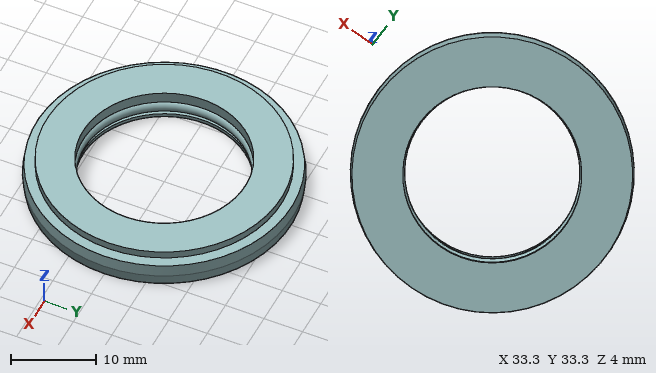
import cadquery as cq

outer_radius = 16.65
rim_edge_radius = 16.45
shoulder_radius = 15.15
bore_radius = 10.5
total_height = 4.0
rim_height = 3.0
crest_z = rim_height / 2

seal_section_diameter = 1.5
seal_inner_radius = 10.25
seal_z = crest_z
seal_outer_radius = seal_inner_radius + seal_section_diameter
groove_width = 2.0
groove_bottom_z = seal_z - groove_width / 2
groove_top_z = seal_z + groove_width / 2


def revolve_about_z(profile):
    """Revolve a closed profile, drawn as (radius, z), a full turn about Z."""
    return profile.revolve(360, (0, 0, 0), (0, 1, 0))


def make_housing():
    """Stepped ring with a tapered rim and a square groove in its bore."""
    profile = (
        cq.Workplane("XZ")
        .moveTo(bore_radius, 0)
        .lineTo(rim_edge_radius, 0)
        .lineTo(outer_radius, crest_z)
        .lineTo(rim_edge_radius, rim_height)
        .lineTo(shoulder_radius, rim_height)
        .lineTo(shoulder_radius, total_height)
        .lineTo(bore_radius, total_height)
        .lineTo(bore_radius, groove_top_z)
        .lineTo(seal_outer_radius, groove_top_z)
        .lineTo(seal_outer_radius, groove_bottom_z)
        .lineTo(bore_radius, groove_bottom_z)
        .close()
    )
    return revolve_about_z(profile)


def make_seal_ring():
    """Round-section ring seated on the groove floor, clear of both groove sides."""
    section_center_radius = (seal_inner_radius + seal_outer_radius) / 2
    profile = (
        cq.Workplane("XZ")
        .moveTo(section_center_radius, seal_z)
        .circle(seal_section_diameter / 2)
    )
    return revolve_about_z(profile)


housing = make_housing()
seal_ring = make_seal_ring()

result = cq.Compound.makeCompound([housing.val(), seal_ring.val()])